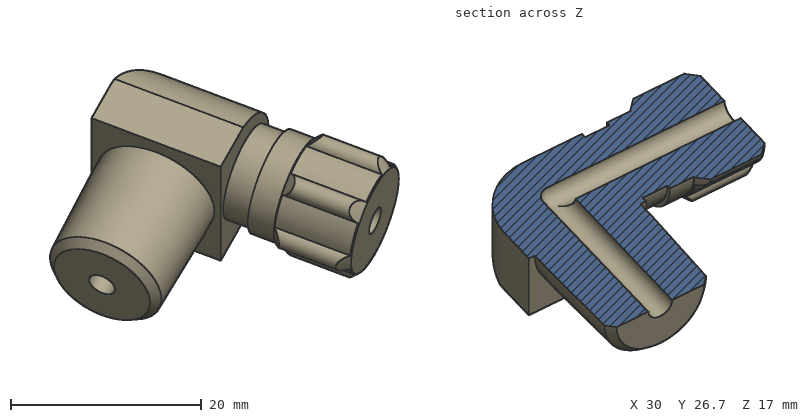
import cadquery as cq
import math

body_length = 14.95
body_height = 17.0
body_half_depth = 6.0
corner_radius = 7.5
back_radius = 8.85

neck_radius = 10.8 / 2
neck_end = 18.0
sleeve_radius = 11.75 / 2
sleeve_end = 21.03
nut_radius = 6.1
nut_end = 30.0

rib_count = 6
rib_radius = 1.2
rib_tip_radius = 7.2
nut_end_chamfer = 1.23

spigot_x = body_length / 2
spigot_length = 13.5
spigot_radius = 13.47 / 2
spigot_straight = 2.43
spigot_small_radius = 12.9 / 2
spigot_chamfer = 0.9

bore_radius = 3 / 2


def x_cylinder(start, end, radius):
    return cq.Workplane("YZ").workplane(offset=start).circle(radius).extrude(end - start)


def make_body():
    """Block with a rounded back, rounded again at its outer corner."""
    half_height = body_height / 2
    back_center = body_half_depth - back_radius
    back_edge = back_center + math.sqrt(back_radius**2 - half_height**2)
    section = (
        cq.Workplane("YZ")
        .moveTo(-body_half_depth, -half_height)
        .lineTo(back_edge, -half_height)
        .threePointArc((body_half_depth, 0), (back_edge, half_height))
        .lineTo(-body_half_depth, half_height)
        .close()
        .extrude(body_length)
    )
    outline = (
        cq.Workplane("XY")
        .rect(2 * body_length, 2 * body_half_depth)
        .extrude(half_height, both=True)
        .edges("|Z and <X and >Y")
        .fillet(corner_radius)
        .translate((body_length, 0, 0))
    )
    return section.intersect(outline)


def make_nut():
    """Round nut with grip ribs, both ends trimmed by 45 degree cones."""
    ribs = (
        cq.Workplane("YZ")
        .workplane(offset=sleeve_end)
        .polarArray(rib_tip_radius - rib_radius, 0, 360, rib_count)
        .circle(rib_radius)
        .extrude(nut_end - sleeve_end)
    )
    envelope = x_cylinder(sleeve_end, nut_end, rib_tip_radius).edges().chamfer(nut_end_chamfer)
    return x_cylinder(sleeve_end, nut_end, nut_radius).union(ribs).intersect(envelope)


def make_spigot():
    """Straight collar, slight taper and chamfered tip."""
    tip_y = -body_half_depth - spigot_length
    profile = [
        (0, -body_half_depth),
        (spigot_radius, -body_half_depth),
        (spigot_radius, -body_half_depth - spigot_straight),
        (spigot_small_radius, tip_y + spigot_chamfer),
        (spigot_small_radius - spigot_chamfer, tip_y),
        (0, tip_y),
    ]
    spigot = cq.Workplane("XY").polyline(profile).close().revolve(360, (0, 0, 0), (0, 1, 0))
    return spigot.translate((spigot_x, 0, 0))


def make_bore():
    """Right-angled passage with a ball-shaped corner."""
    along_x = x_cylinder(spigot_x, nut_end, bore_radius)
    mouth_y = -body_half_depth - spigot_length
    ball_middle = bore_radius * math.sqrt(0.5)
    along_y = (
        cq.Workplane("XY")
        .moveTo(0, mouth_y)
        .lineTo(bore_radius, mouth_y)
        .lineTo(bore_radius, 0)
        .threePointArc((ball_middle, ball_middle), (0, bore_radius))
        .close()
        .revolve(360, (0, 0, 0), (0, 1, 0))
        .translate((spigot_x, 0, 0))
    )
    return along_x.union(along_y)


result = (
    make_body()
    .union(x_cylinder(body_length, neck_end, neck_radius))
    .union(x_cylinder(neck_end, sleeve_end, sleeve_radius))
    .union(make_nut())
    .union(make_spigot())
    .cut(make_bore())
)